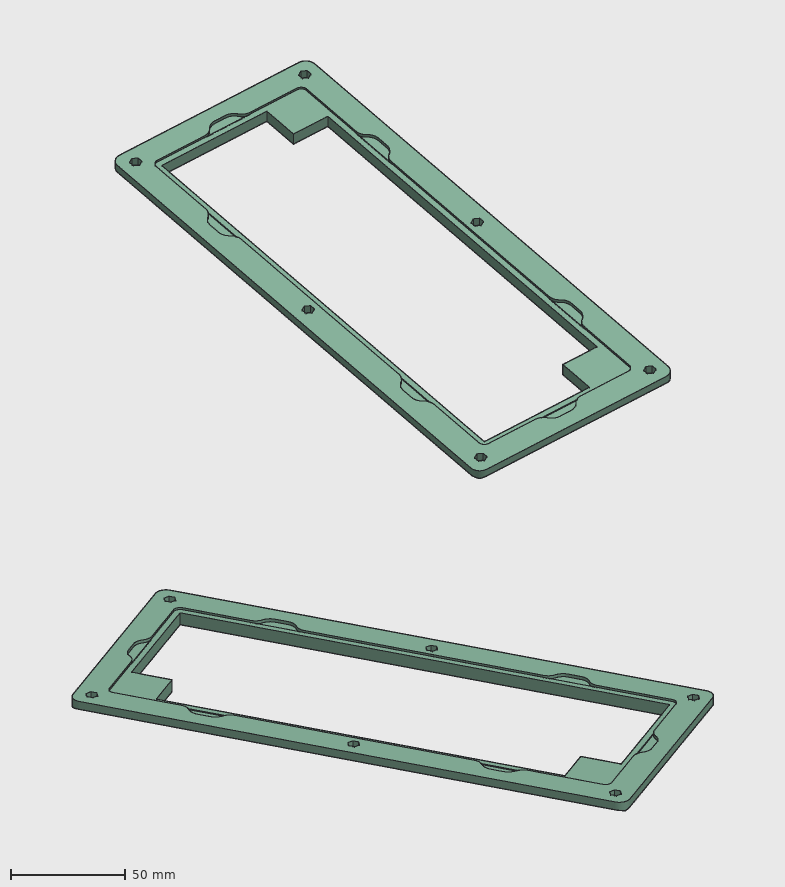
import cadquery as cq
LENGTH = 261.55
WIDTH = 109.15
HEIGHT = 7.0
CORNER_RADIUS = 5.0

BEVEL_HEIGHT = 3.0
BEVEL_RUN_X = 5.0
BEVEL_RUN_Y = 9.8

SEAT_LENGTH = 235.8
SEAT_WIDTH = 83.15
SEAT_RADIUS = 3.0
SEAT_DEPTH = 1.0

LEDGE = 3.0
WINDOW_LENGTH = SEAT_LENGTH - 2 * LEDGE
WINDOW_WIDTH = SEAT_WIDTH - 2 * LEDGE
PAD_SIZE = 19.0

NOTCH_DEPTH = 1.5
NOTCH_REACH = 5.0
NOTCH_HALF_MOUTH = 12.6
NOTCH_HALF_FLAT = 3.0
NOTCH_CORNER_RADIUS = 6.0
NOTCH_LEFT_X = -67.1
NOTCH_RIGHT_X = 70.4

SOCKET_SIDES = 6
SOCKET_ACROSS_CORNERS = 5.5
SOCKET_DEPTH = 4.0
SOCKET_OFFSET_X = 122.9
SOCKET_OFFSET_Y = 46.8


def frame_blank():
    """Rounded plate with the underside edges bevelled along all four sides."""
    plate = cq.Workplane("XY").box(LENGTH, WIDTH, HEIGHT, centered=(True, True, False))
    plate = plate.edges("|Z").fillet(CORNER_RADIUS)
    plate = plate.intersect(bevel_envelope("XZ", LENGTH, BEVEL_RUN_X, WIDTH))
    return plate.intersect(bevel_envelope("YZ", WIDTH, BEVEL_RUN_Y, LENGTH))


def bevel_envelope(plane, span, run, extent):
    """Prism whose section is a span-wide rectangle with both lower corners cut off."""
    half = span / 2
    section = [
        (-half, HEIGHT),
        (-half, BEVEL_HEIGHT),
        (run - half, 0),
        (half - run, 0),
        (half, BEVEL_HEIGHT),
        (half, HEIGHT),
    ]
    return cq.Workplane(plane).polyline(section).close().extrude(extent / 2, both=True)


def seat():
    """Rounded rectangular recess in the top face."""
    top = cq.Workplane("XY").workplane(offset=HEIGHT - SEAT_DEPTH)
    return top.rect(SEAT_LENGTH, SEAT_WIDTH).extrude(SEAT_DEPTH).edges("|Z").fillet(SEAT_RADIUS)


def window():
    """Through opening that steps around the two corner pads."""
    opening = cq.Workplane("XY").rect(WINDOW_LENGTH, WINDOW_WIDTH).extrude(HEIGHT)
    pad_x = (WINDOW_LENGTH - PAD_SIZE) / 2
    pad_y = (WINDOW_WIDTH - PAD_SIZE) / 2
    pads = (
        cq.Workplane("XY")
        .pushPoints([(-pad_x, pad_y), (pad_x, pad_y)])
        .rect(PAD_SIZE, PAD_SIZE)
        .extrude(HEIGHT)
    )
    return opening.cut(pads)


def hex_sockets():
    """Three blind hexagonal sockets along each long side, corners pointing along X."""
    columns = (-SOCKET_OFFSET_X, 0, SOCKET_OFFSET_X)
    rows = (-SOCKET_OFFSET_Y, SOCKET_OFFSET_Y)
    points = [(x, y) for x in columns for y in rows]
    top = cq.Workplane("XY").workplane(offset=HEIGHT - SOCKET_DEPTH)
    return top.pushPoints(points).polygon(SOCKET_SIDES, SOCKET_ACROSS_CORNERS).extrude(SOCKET_DEPTH)


def finger_notch(x, y, angle):
    """Pocket with flared sides and a flat end, whose mouth is centred at (x, y); at angle 0 it reaches toward +Y."""
    flank_run = NOTCH_HALF_MOUTH - NOTCH_HALF_FLAT
    radius_sum = (flank_run**2 + NOTCH_REACH**2) / (2 * NOTCH_REACH)
    flare_radius = radius_sum - NOTCH_CORNER_RADIUS
    flare_share = flare_radius / radius_sum
    join_x = NOTCH_HALF_MOUTH - flank_run * flare_share
    join_y = NOTCH_REACH * flare_share
    return (
        cq.Workplane("XY")
        .moveTo(-NOTCH_HALF_MOUTH, 0)
        .radiusArc((-join_x, join_y), -flare_radius)
        .radiusArc((-NOTCH_HALF_FLAT, NOTCH_REACH), NOTCH_CORNER_RADIUS)
        .lineTo(NOTCH_HALF_FLAT, NOTCH_REACH)
        .radiusArc((join_x, join_y), NOTCH_CORNER_RADIUS)
        .radiusArc((NOTCH_HALF_MOUTH, 0), -flare_radius)
        .close()
        .extrude(NOTCH_DEPTH)
        .rotate((0, 0, 0), (0, 0, 1), angle)
        .translate((x, y, HEIGHT - NOTCH_DEPTH))
    )


def finger_notches():
    """Two notches on each long side of the seat and one on each short side."""
    edge_x = SEAT_LENGTH / 2
    edge_y = SEAT_WIDTH / 2
    notches = finger_notch(edge_x, 0, -90).union(finger_notch(-edge_x, 0, 90))
    for x in (NOTCH_LEFT_X, NOTCH_RIGHT_X):
        notches = notches.union(finger_notch(x, edge_y, 0))
        notches = notches.union(finger_notch(x, -edge_y, 180))
    return notches


result = frame_blank().cut(seat()).cut(window()).cut(finger_notches()).cut(hex_sockets())